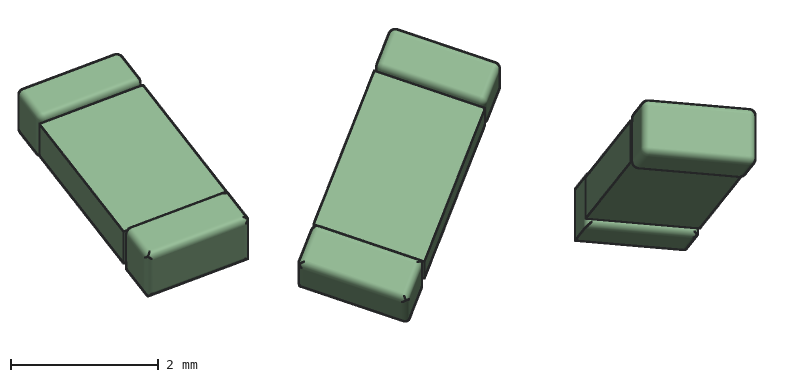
import cadquery as cq

total_length = 3.74
width = 1.6
body_length = 2.4
body_height = 0.6
cap_length = (total_length - body_length) / 2
cap_height = 0.805
cap_round = 0.097

right_cap_drop = 0.015
right_cap_setback = 0.005

cap_center_x = (body_length + cap_length) / 2


def make_body():
    """Plain rectangular body between the two caps."""
    return cq.Workplane("XY").box(body_length, width, body_height)


def make_left_cap():
    """Block with every edge rounded and a spherical patch at every corner."""
    cap = cq.Workplane("XY").box(cap_length, width, cap_height).edges().fillet(cap_round)
    return cap.translate((-cap_center_x, 0, 0))


def make_right_cap():
    """Rounded block with mitred corners, one spherical corner and one sharp edge.

    Blocks rounded along one axis each are intersected, so their rounds meet in mitres.
    The spherical corner is at -X -Y +Z; the sharp edge runs along X at +Y -Z.
    """
    cap_width = width - right_cap_setback
    block = cq.Workplane("XY").box(cap_length, cap_width, cap_height)

    rounded_along_x = block.edges("|X").edges("<Y or >Z").fillet(cap_round)
    rounded_along_y = block.edges("|Y").fillet(cap_round)
    rounded_along_z = block.edges("|Z").fillet(cap_round)
    cap = rounded_along_x.intersect(rounded_along_y).intersect(rounded_along_z)

    edges_at_ball_corner = "(|X and <Y and >Z) or (|Y and <X and >Z) or (|Z and <X and <Y)"
    ball_cornered = block.edges(edges_at_ball_corner).fillet(cap_round)
    cap = cap.intersect(ball_cornered)

    center_y = -right_cap_setback / 2
    return cap.translate((cap_center_x, center_y, -right_cap_drop))


body = make_body()
left_cap = make_left_cap()
right_cap = make_right_cap()

result = cq.Compound.makeCompound([body.val(), left_cap.val(), *right_cap.solids().vals()])